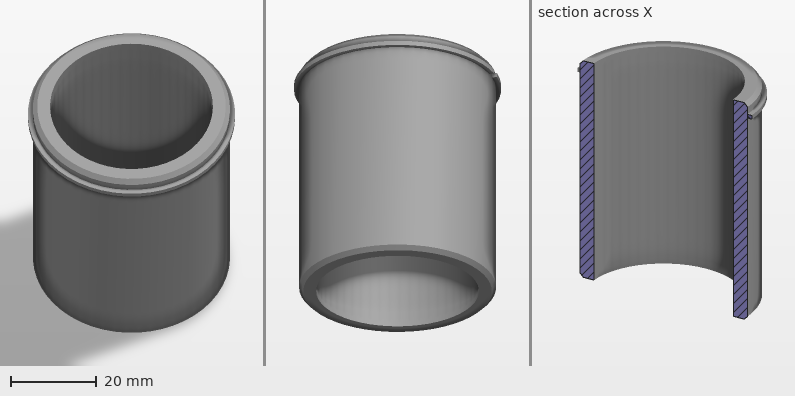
import cadquery as cq

sleeve_height = 56.0
sleeve_diameter = 46.05
bore_diameter = 38.0
rim_chamfer = 1.0

ring_diameter = 48.4
ring_thickness = 1.05
ring_top_setback = 2.8
ring_gap = 1.95
ring_bottom = sleeve_height - ring_top_setback - ring_thickness


def make_sleeve():
    """Tube with a through bore and chamfered outer rims."""
    outside = cq.Workplane("XY").circle(sleeve_diameter / 2).extrude(sleeve_height)
    outside = outside.faces("<Z or >Z").chamfer(rim_chamfer)
    bore = cq.Workplane("XY").circle(bore_diameter / 2).extrude(sleeve_height)
    return outside.cut(bore)


def make_split_ring():
    """Flat ring around the sleeve, open at a narrow gap on the +Y side."""
    ring = (
        cq.Workplane("XY", origin=(0, 0, ring_bottom))
        .circle(ring_diameter / 2)
        .circle(sleeve_diameter / 2)
        .extrude(ring_thickness)
    )
    gap = cq.Workplane("XY", origin=(0, 0, ring_bottom)).box(
        ring_gap, ring_diameter, ring_thickness, centered=(True, False, False)
    )
    return ring.cut(gap)


sleeve = make_sleeve()
split_ring = make_split_ring()

result = cq.Compound.makeCompound([sleeve.val(), split_ring.val()])